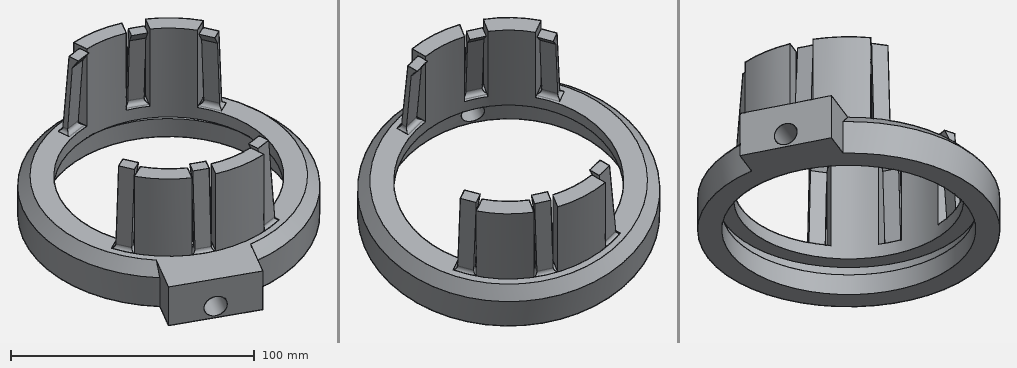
import cadquery as cq
ring_radius = 62.0
ring_height = 20.0
ring_chamfer = 5.1
bore_radius = 47.1
recess_radius = 52.0
recess_height = 14.0
groove_radius = 54.0
groove_bottom = 9.4

block_end = 133.8 - ring_radius
block_width = 40.1
hole_radius = 5.0
hole_height = 6.0

total_height = 60.0
wall_radius = 54.0
clip_pitch = 36.0
slot_width = 10.0

clip_width = 7.0
clip_foot_inner = 50.3
clip_foot_outer = 52.8
clip_top_inner = 35.5
clip_top_outer = 49.5
clip_tip = 44.5
head_height = 5.1
neck_inner = 47.8
foot_fillet = 2.0


def cylinder(radius, bottom, top):
    return cq.Workplane("XY").workplane(offset=bottom).circle(radius).extrude(top - bottom)


def make_base():
    ring = cylinder(ring_radius, 0, ring_height).faces(">Z").chamfer(ring_chamfer)
    block = cq.Workplane("XY").box(
        block_end, block_width, ring_height, centered=(False, True, False)
    )
    return ring.union(block)


def make_walls():
    """Two opposite ring sectors, each reaching from one outer clip to the other."""
    tube = cylinder(wall_radius, ring_height, total_height)
    sector = (
        cq.Workplane("XY")
        .workplane(offset=ring_height)
        .polarLine(2 * wall_radius, clip_pitch)
        .lineTo(2 * wall_radius, 0)
        .polarLineTo(2 * wall_radius, -clip_pitch)
        .close()
        .extrude(total_height - ring_height)
    )
    sectors = sector.union(sector.mirror("YZ"))
    return tube.intersect(sectors)


def make_slot():
    return (
        cq.Workplane("XY", origin=(0, 0, ring_height))
        .box(wall_radius, slot_width, total_height, centered=(False, True, False))
        .intersect(cylinder(wall_radius, ring_height, total_height))
    )


def make_clip():
    arm = (
        cq.Workplane("XZ")
        .moveTo(clip_foot_inner, ring_height)
        .lineTo(clip_foot_outer, ring_height)
        .lineTo(clip_top_outer, total_height)
        .lineTo(clip_tip, total_height)
        .lineTo(neck_inner, total_height - head_height)
        .close()
        .extrude(clip_width / 2, both=True)
    )
    plate = cq.Workplane("XY").box(
        4 * wall_radius, 2 * slot_width, ring_height, centered=(True, True, False)
    )
    foot_edges = cq.selectors.BoxSelector(
        (clip_foot_inner - foot_fillet, -clip_width, ring_height - foot_fillet / 4),
        (clip_foot_outer + foot_fillet, clip_width, ring_height + foot_fillet / 4),
    )
    filleted = plate.union(arm).edges(foot_edges).fillet(foot_fillet)
    foot = filleted.intersect(make_slot())
    return arm.union(foot)


def make_bore():
    """Straight bore with a wider recess in the underside, grooved at its top."""
    bore = cylinder(bore_radius, 0, total_height)
    recess = cylinder(recess_radius, 0, recess_height)
    groove = cylinder(groove_radius, groove_bottom, recess_height)
    return bore.union(recess).union(groove)


def make_hole():
    return (
        cq.Workplane("YZ")
        .center(0, hole_height)
        .circle(hole_radius)
        .extrude(block_end)
    )


clip_angles = [side + step * clip_pitch for side in (0, 180) for step in (-1, 0, 1)]
slot = make_slot()
clip = make_clip()

result = make_base().union(make_walls()).cut(make_bore()).cut(make_hole())
for angle in clip_angles:
    result = result.cut(slot.rotate((0, 0, 0), (0, 0, 1), angle))
for angle in clip_angles:
    result = result.union(clip.rotate((0, 0, 0), (0, 0, 1), angle))